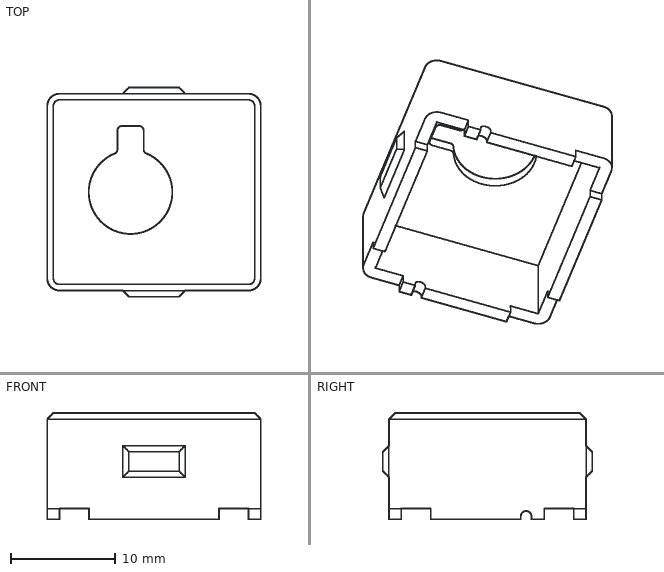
import cadquery as cq

LENGTH_X = 20.5
WIDTH_Y = 18.9
HEIGHT = 10.23
WALL = 1.2
CORNER_RADIUS = WALL
TOP_CHAMFER = 0.6

RELIEF_REACH = 4.0
RELIEF_HEIGHT = 1.03

BUMP_LENGTH = 6.0
BUMP_HEIGHT = 3.05
BUMP_DEPTH = 0.6
BUMP_BEVEL = BUMP_DEPTH
BUMP_CENTRE_Z = 5.565

HOLE_X = -2.25
HOLE_RADIUS = 4.0
KEY_WIDTH = 2.5
KEY_END_Y = 6.325
KEY_FILLET = 0.4

NOTCH_WIDTH = 1.0
NOTCH_HEIGHT = 0.8
NOTCH_Y = 3.7


def make_shell():
    """Rounded, chamfered block hollowed from below by a square-cornered cavity."""
    block = (
        cq.Workplane("XY")
        .rect(LENGTH_X, WIDTH_Y)
        .extrude(HEIGHT)
        .edges("|Z")
        .fillet(CORNER_RADIUS)
        .faces(">Z")
        .chamfer(TOP_CHAMFER)
    )
    cavity = cq.Workplane("XY").rect(LENGTH_X - 2 * WALL, WIDTH_Y - 2 * WALL).extrude(HEIGHT - WALL)
    return block.cut(cavity)


def make_corner_reliefs():
    """Four blocks, one over each lower corner of the shell."""
    return (
        cq.Workplane("XY")
        .rect(LENGTH_X, WIDTH_Y, forConstruction=True)
        .vertices()
        .rect(2 * RELIEF_REACH, 2 * RELIEF_REACH)
        .extrude(RELIEF_HEIGHT)
    )


def make_bump():
    """Bevelled snap bump on the front (-Y) wall."""
    wall_plane = cq.Plane(origin=(0, -WIDTH_Y / 2, BUMP_CENTRE_Z), xDir=(1, 0, 0), normal=(0, -1, 0))
    return (
        cq.Workplane(wall_plane)
        .rect(BUMP_LENGTH, BUMP_HEIGHT)
        .workplane(offset=BUMP_DEPTH)
        .rect(BUMP_LENGTH - 2 * BUMP_BEVEL, BUMP_HEIGHT - 2 * BUMP_BEVEL)
        .loft(ruled=True)
    )


def make_keyhole():
    """Round hole with a key slot toward +Y; the slot's end and its corners with the hole are filleted."""
    hole_axis = cq.Workplane("XY").center(HOLE_X, 0)
    round_hole = hole_axis.circle(HOLE_RADIUS).extrude(HEIGHT)
    key_slot = hole_axis.center(0, KEY_END_Y / 2).rect(KEY_WIDTH, KEY_END_Y).extrude(HEIGHT)
    slot_edges = cq.selectors.BoxSelector(
        (HOLE_X - KEY_WIDTH, HOLE_RADIUS / 2, 0),
        (HOLE_X + KEY_WIDTH, KEY_END_Y + KEY_FILLET, HEIGHT),
    )
    return round_hole.union(key_slot).edges("|Z").edges(slot_edges).fillet(KEY_FILLET)


def make_wall_notch():
    """Round-topped slot running along X through both side walls."""
    radius = NOTCH_WIDTH / 2
    spring_z = NOTCH_HEIGHT - radius
    return (
        cq.Workplane("YZ")
        .moveTo(NOTCH_Y - radius, 0)
        .lineTo(NOTCH_Y - radius, spring_z)
        .threePointArc((NOTCH_Y, NOTCH_HEIGHT), (NOTCH_Y + radius, spring_z))
        .lineTo(NOTCH_Y + radius, 0)
        .close()
        .extrude(LENGTH_X / 2, both=True)
    )


front_bump = make_bump()
back_bump = front_bump.mirror("XZ")

result = (
    make_shell()
    .cut(make_corner_reliefs())
    .cut(make_keyhole())
    .cut(make_wall_notch())
    .union(front_bump)
    .union(back_bump)
)